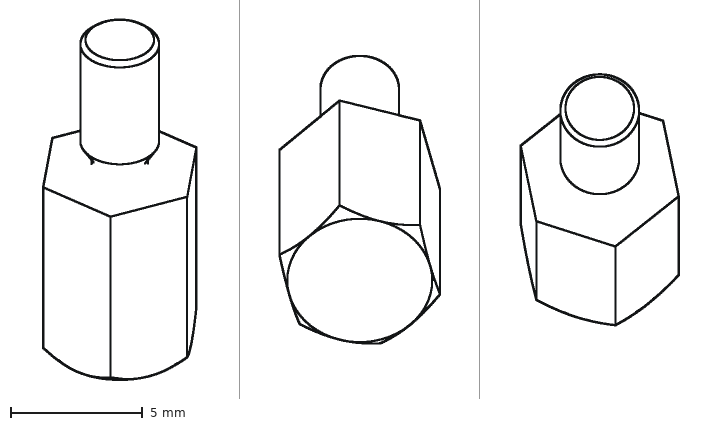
import cadquery as cq
import math

total_height = 14.0
body_height = 8.0
across_flats = 5.5
across_corners = across_flats / math.cos(math.pi / 6)

stud_radius = 3.0 / 2
tip_chamfer = 0.2

groove_radius = 2.13 / 2
root_fillet = 0.2
groove_top = 8.51
groove_blend = 0.2
cone_top = 9.24

chamfer_angle = math.radians(45)
chamfer_base_radius = across_flats / 2
chamfer_reach = across_corners / 2 - chamfer_base_radius
chamfer_height = chamfer_reach * math.tan(chamfer_angle)


def make_body():
    """Hexagonal prism with corners on the X axis, its lower corners turned to a cone."""
    prism = cq.Workplane("XY").polygon(6, across_corners).extrude(body_height)
    turned_blank = (
        cq.Workplane("XZ")
        .lineTo(chamfer_base_radius, 0)
        .lineTo(across_corners / 2, chamfer_height)
        .lineTo(across_corners / 2, body_height)
        .lineTo(0, body_height)
        .close()
        .revolve(360, (0, 0), (0, 1))
    )
    return prism.intersect(turned_blank)


def make_stud():
    """Round stud with a chamfered tip, a conical run-out and a filleted groove."""
    cone_slope = math.atan2(cone_top - groove_top, stud_radius - groove_radius)
    blend_turn = math.pi / 2 - cone_slope
    tangent_length = groove_blend * math.tan(blend_turn / 2)
    blend_center = groove_radius + groove_blend
    blend_start = groove_top - tangent_length
    blend_mid = (
        blend_center - groove_blend * math.cos(blend_turn / 2),
        blend_start + groove_blend * math.sin(blend_turn / 2),
    )
    blend_end = (
        blend_center - groove_blend * math.cos(blend_turn),
        blend_start + groove_blend * math.sin(blend_turn),
    )
    root_rise = root_fillet * (1 - math.sqrt(0.5))
    return (
        cq.Workplane("XZ")
        .lineTo(groove_radius + root_fillet, 0)
        .lineTo(groove_radius + root_fillet, body_height)
        .threePointArc(
            (groove_radius + root_rise, body_height + root_rise),
            (groove_radius, body_height + root_fillet),
        )
        .lineTo(groove_radius, blend_start)
        .threePointArc(blend_mid, blend_end)
        .lineTo(stud_radius, cone_top)
        .lineTo(stud_radius, total_height - tip_chamfer)
        .lineTo(stud_radius - tip_chamfer, total_height)
        .lineTo(0, total_height)
        .close()
        .revolve(360, (0, 0), (0, 1))
    )


result = make_body().union(make_stud())